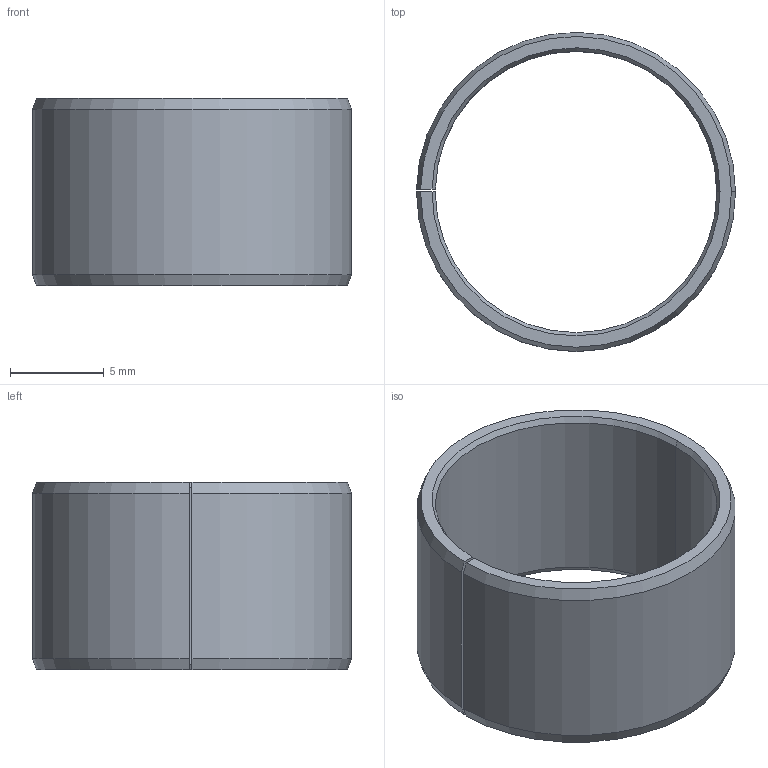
import cadquery as cq
import math

outer_radius = 8.5
inner_radius = 7.5
length = 10.0

outer_bevel_length = 0.6
outer_bevel_angle = 20.0
outer_bevel_depth = outer_bevel_length * math.tan(math.radians(outer_bevel_angle))

bore_chamfer_depth = 0.175
bore_chamfer_length = 0.3

gap_width = 0.15
gap_start_y = 0.0


def make_bush():
    """Revolve the wall section, with its bevelled ends, around Z."""
    section = (
        cq.Workplane("XZ")
        .moveTo(inner_radius + bore_chamfer_depth, 0)
        .lineTo(outer_radius - outer_bevel_depth, 0)
        .lineTo(outer_radius, outer_bevel_length)
        .lineTo(outer_radius, length - outer_bevel_length)
        .lineTo(outer_radius - outer_bevel_depth, length)
        .lineTo(inner_radius + bore_chamfer_depth, length)
        .lineTo(inner_radius, length - bore_chamfer_length)
        .lineTo(inner_radius, bore_chamfer_length)
        .close()
    )
    return section.revolve(360, (0, 0), (0, 1))


def make_joint_gap():
    """Thin slab from the axis out past the wall towards -X."""
    reach = 2 * outer_radius
    slab = cq.Workplane("XY").box(reach, gap_width, length, centered=False)
    return slab.translate((-reach, gap_start_y, 0))


result = make_bush().cut(make_joint_gap())